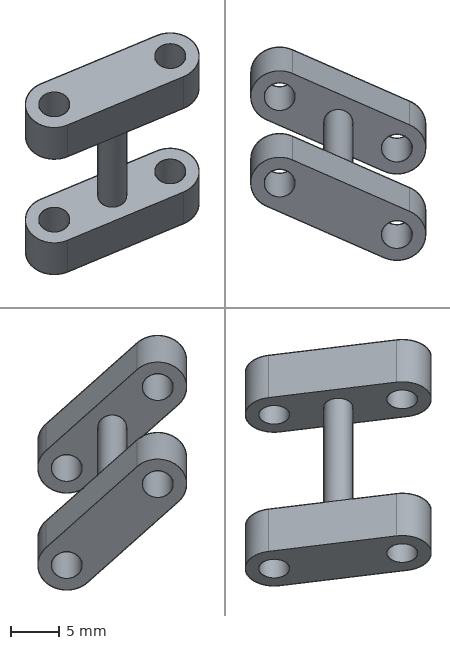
import cadquery as cq

total_height = 25.5
link_length = 19.5
link_width = 6.0

link_thickness = 5.5
hole_diameter = 3.2
rod_diameter = 3.0

hole_spacing = link_length - link_width
rod_length = total_height - 2 * link_thickness


def make_link(bottom_z):
    """Round-ended bar along Y with a vertical through hole at each end."""
    return (
        cq.Workplane("XY", origin=(0, 0, bottom_z))
        .slot2D(link_length, link_width, angle=90)
        .extrude(link_thickness)
        .faces(">Z")
        .workplane(origin=(0, 0, bottom_z + link_thickness))
        .rarray(0.25, hole_spacing, 1, 2)
        .hole(hole_diameter)
    )


def make_rod():
    """Round rod joining the facing sides of the two links."""
    return (
        cq.Workplane("XY", origin=(0, 0, link_thickness))
        .circle(rod_diameter / 2)
        .extrude(rod_length)
    )


lower_link = make_link(0)
upper_link = make_link(total_height - link_thickness)
result = lower_link.union(make_rod()).union(upper_link)